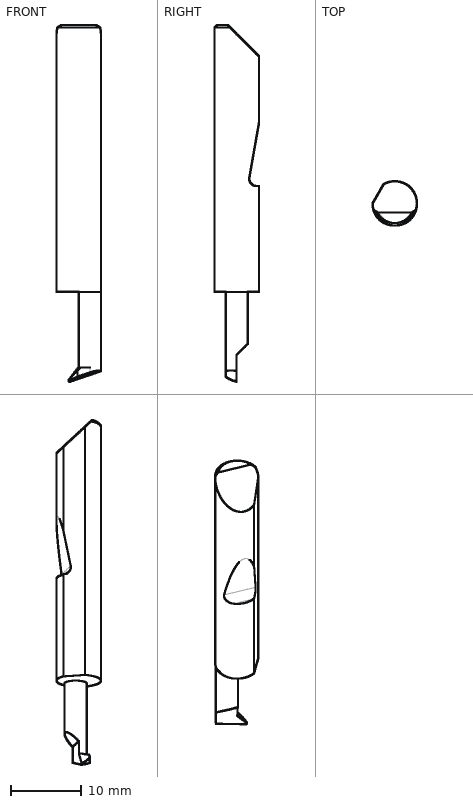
import cadquery as cq
import math

total_length = 50.8

shank_diameter = 6.35
shank_radius = shank_diameter / 2
shank_bottom = 12.8
top_chamfer = 0.38
bevel_start_y = -1.25
flat_half_angle = 30.0
flat_distance = shank_radius * math.cos(math.radians(flat_half_angle))
flat_angle = 150.0

notch_bottom = 27.9
notch_angle = 10.0
notch_length = 8.95
notch_fillet = 1.0

neck_diameter = 3.2
neck_radius = neck_diameter / 2
neck_x = shank_radius - neck_radius
rake_end_z = 3.85

tip_top = 2.1
tip_x = -1.45
nose_x = -1.3
nose_z = 0.2
tip_front_x = -0.2
bottom_slope = 0.34
flank_relief = 0.3
bottom_relief = 0.35

cut_size = 4 * shank_radius
cut_margin = 0.5


def make_shank():
    shank = (
        cq.Workplane("XY", origin=(0, 0, shank_bottom))
        .circle(shank_radius)
        .extrude(total_length - shank_bottom)
        .faces(">Z")
        .chamfer(top_chamfer)
    )
    bevel_run = shank_radius - bevel_start_y + cut_margin
    bevel = (
        cq.Workplane("YZ")
        .moveTo(bevel_start_y, total_length)
        .lineTo(bevel_start_y + bevel_run, total_length)
        .lineTo(bevel_start_y + bevel_run, total_length - bevel_run)
        .close()
        .extrude(shank_radius + cut_margin, both=True)
    )
    flat = (
        cq.Workplane("XY")
        .box(cut_size, cut_size, total_length, centered=(False, True, False))
        .translate((flat_distance, 0, 0))
        .rotate((0, 0, 0), (0, 0, 1), flat_angle)
    )
    return shank.cut(bevel).cut(flat).cut(make_notch())


def make_notch():
    depth = notch_length * math.tan(math.radians(notch_angle))
    outside_y = shank_radius + cut_margin
    return (
        cq.Workplane("YZ")
        .moveTo(shank_radius - depth, notch_bottom)
        .lineTo(outside_y, notch_bottom)
        .lineTo(outside_y, notch_bottom + notch_length)
        .lineTo(shank_radius, notch_bottom + notch_length)
        .close()
        .extrude(shank_radius + cut_margin, both=True)
        .edges("|X and <Y")
        .fillet(notch_fillet)
    )


def make_neck_and_tip():
    neck = (
        cq.Workplane("XY", origin=(neck_x, 0, 0))
        .circle(neck_radius)
        .extrude(shank_bottom)
    )
    runout = neck_radius + cut_margin
    rake_cut = (
        cq.Workplane("YZ")
        .polyline([(0, 0), (runout, 0), (runout, rake_end_z + runout), (0, rake_end_z)])
        .close()
        .extrude(cut_size, both=True)
    )
    return neck.union(make_tip_block()).cut(rake_cut).cut(make_relief_cut())


def make_tip_block():
    return (
        cq.Workplane("XY")
        .moveTo(tip_x, 0)
        .radiusArc((tip_front_x, -neck_radius), -shank_radius)
        .lineTo(neck_x, -neck_radius)
        .lineTo(neck_x, 0)
        .close()
        .extrude(tip_top)
    )


def make_relief_cut():
    rear = tip_profile(0, 0)
    front = tip_profile(flank_relief, bottom_relief)
    kept = (
        cq.Workplane("XZ")
        .polyline(rear)
        .close()
        .workplane(offset=neck_radius)
        .polyline(front)
        .close()
        .loft(ruled=True)
    )
    waste = (
        cq.Workplane("XY")
        .box(cut_size, neck_radius, tip_top, centered=(True, False, False))
        .translate((0, -neck_radius, 0))
    )
    return waste.cut(kept)


def tip_profile(flank_shift, bottom_shift):
    """XZ outline of the tip, with the flank moved along X and the end face along Z."""
    corner_x = nose_x + flank_shift
    corner_z = bottom_shift + flank_shift * bottom_slope
    right_x = shank_radius + cut_margin
    right_z = bottom_shift + (right_x - nose_x) * bottom_slope
    return [
        (tip_x + flank_shift, corner_z + nose_z),
        (corner_x, corner_z),
        (right_x, right_z),
        (right_x, tip_top),
        (neck_x - neck_radius + flank_shift, tip_top),
    ]


result = make_shank().union(make_neck_and_tip())